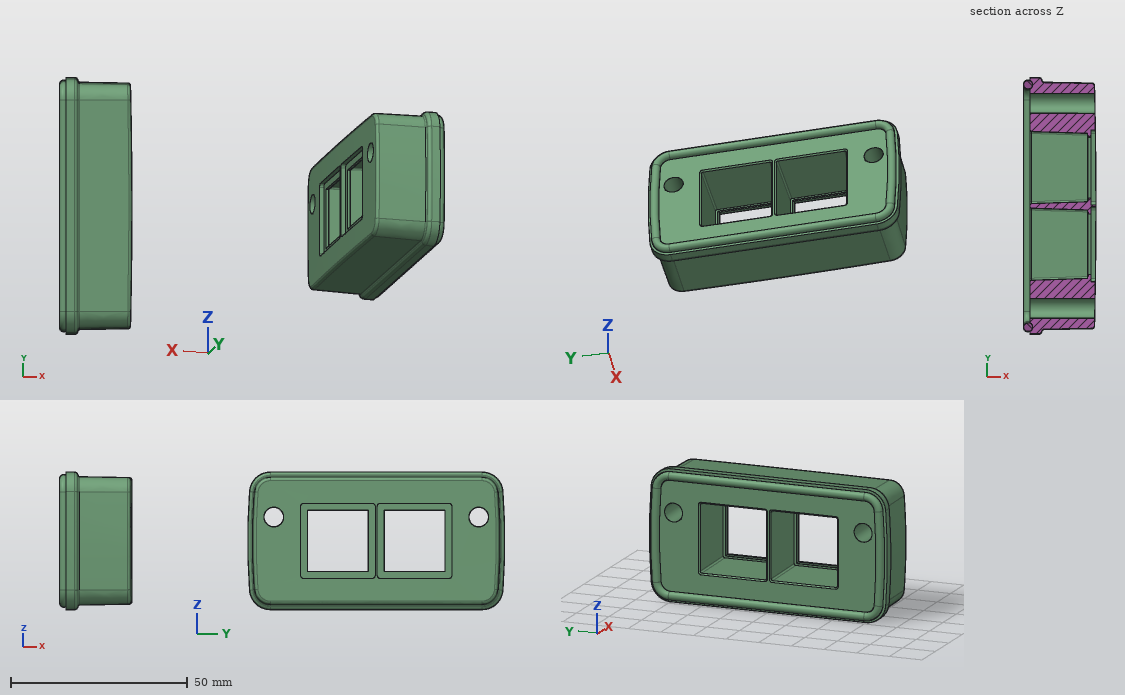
import cadquery as cq
import math


overall_depth = 20.54
length = 72.8
height = 39.0

corner_radius = 6.0
corner_center_y = 29.9
corner_center_z = height / 2 - corner_radius
end_to_corner = length / 2 - corner_center_y
bow_numerator = corner_center_z**2 + end_to_corner**2 - corner_radius**2
bow_radius = bow_numerator / (2 * (end_to_corner - corner_radius))

ring_diameter = 2.5
ring_edge_inset = 0.7
ring_protrusion = 1.79

housing_depth = overall_depth - ring_protrusion
flange_depth = 3.34
shoulder_slope_depth = 0.23
shoulder_inset = 1.3
shoulder_outer_radius = 1.1
shoulder_inner_radius = 0.43
draft_angle = 1.0
rear_crown = 0.45
rear_fillet = 0.9

edge_margin = 0.01

bay_pitch = 21.7
bay_width = 21.15
bay_height = 21.3
bay_lip = 0.42
bay_depth = 16.3
bay_corner_radius = 0.5
bay_floor_size = 19.3
window_width = 17.1
window_height = 17.3
window_rim = 0.45
window_rim_depth = 0.2
window_rim_corner = 0.5
window_wall_end = 17.35

screw_hole_diameter = 5.5
screw_hole_y = 29.0
screw_hole_z = 6.75


def yz_plane(x):
    """Plane across the part at depth x, with local x along Y and the normal along +X."""
    return cq.Workplane("YZ", origin=(x, 0, 0))


def outline(x, inset=0.0):
    """Closed outline of the part at depth x, drawn smaller than the flange by the inset all round."""
    half_length = length / 2 - inset
    half_height = height / 2 - inset
    bow_center_y = length / 2 - bow_radius
    bow_share = (bow_radius - inset) / (bow_radius - corner_radius)
    bow_y = bow_center_y + (corner_center_y - bow_center_y) * bow_share
    bow_z = corner_center_z * bow_share
    return (
        yz_plane(x)
        .moveTo(-corner_center_y, half_height)
        .lineTo(corner_center_y, half_height)
        .tangentArcPoint((bow_y, bow_z), relative=False)
        .threePointArc((half_length, 0), (bow_y, -bow_z))
        .tangentArcPoint((corner_center_y, -half_height), relative=False)
        .lineTo(-corner_center_y, -half_height)
        .tangentArcPoint((-bow_y, -bow_z), relative=False)
        .threePointArc((-half_length, 0), (-bow_y, bow_z))
        .tangentArcPoint((-corner_center_y, half_height), relative=False)
        .close()
    )


def make_ring():
    """Round-section sealing ring that follows the flange outline."""
    center_x = ring_diameter / 2 - ring_protrusion
    path_inset = ring_edge_inset + ring_diameter / 2
    path = outline(center_x, path_inset)
    section_center = (center_x, 0, height / 2 - path_inset)
    section = cq.Workplane("XZ", origin=section_center).circle(ring_diameter / 2)
    return section.sweep(path)


def make_shell():
    """Outside of the housing: flange, rounded shoulder, drafted box and crowned rear face."""
    shoulder_end = flange_depth + shoulder_slope_depth
    shoulder_angle = math.degrees(math.atan2(shoulder_inset, shoulder_slope_depth))
    flange = outline(0).extrude(flange_depth)
    shoulder = outline(flange_depth).extrude(shoulder_slope_depth, taper=shoulder_angle)
    box = outline(shoulder_end, shoulder_inset).extrude(housing_depth - shoulder_end, taper=draft_angle)
    box = box.intersect(make_crown_envelope()).faces(">X").edges().fillet(rear_fillet)
    shell = flange.union(shoulder).union(box)
    shell = shell.edges(edges_at(flange_depth)).fillet(shoulder_outer_radius)
    return shell.edges(edges_at(shoulder_end)).fillet(shoulder_inner_radius)


def edges_at(x):
    """Selector for the edges that lie around depth x."""
    reach = length
    near_corner = (x - edge_margin, -reach, -reach)
    far_corner = (x + edge_margin, reach, reach)
    return cq.selectors.BoxSelector(near_corner, far_corner, boundingbox=True)


def make_crown_envelope():
    """Block whose rear face is a shallow arc along Y, highest in the middle."""
    crown_edge_x = housing_depth - rear_crown
    return (
        cq.Workplane("XY", origin=(0, 0, -height / 2))
        .moveTo(0, -length / 2)
        .lineTo(crown_edge_x, -length / 2)
        .threePointArc((housing_depth, 0), (crown_edge_x, length / 2))
        .lineTo(0, length / 2)
        .close()
        .extrude(height)
    )


def rounded_rect(size_y, size_z, radius):
    """Sketch of a rectangle with round corners."""
    return cq.Sketch().rect(size_y, size_z).vertices().fillet(radius)


def tapered_pocket(x_start, x_end, center_y, start_section, end_section):
    """Solid that blends from one rounded rectangle to another between two depths."""
    return (
        yz_plane(x_start)
        .center(center_y, 0)
        .placeSketch(start_section, end_section.moved(cq.Location(cq.Vector(0, 0, x_end - x_start))))
        .loft(ruled=True)
    )


def straight_pocket(x_start, x_end, center_y, section):
    """Solid of constant section between two depths."""
    return yz_plane(x_start).center(center_y, 0).placeSketch(section).extrude(x_end - x_start)


def make_bay(center_y):
    """Cutter for one module bay: chamfered mouth, drafted pocket, rimmed window and rear recess."""
    mouth_section = rounded_rect(bay_width, bay_height, bay_corner_radius + bay_lip)
    throat_section = rounded_rect(bay_width - 2 * bay_lip, bay_height - 2 * bay_lip, bay_corner_radius)
    floor_section = rounded_rect(bay_floor_size, bay_floor_size, bay_corner_radius)
    rim_width = window_width + 2 * window_rim
    rim_height = window_height + 2 * window_rim
    rim_section = rounded_rect(rim_width, rim_height, window_rim_corner)
    window_section = cq.Sketch().rect(window_width, window_height)

    mouth = tapered_pocket(0, bay_lip, center_y, mouth_section, throat_section)
    pocket = tapered_pocket(bay_lip, bay_depth, center_y, throat_section, floor_section)
    rim = straight_pocket(bay_depth, bay_depth + window_rim_depth, center_y, rim_section)
    window = straight_pocket(bay_depth, window_wall_end, center_y, window_section)
    recess = straight_pocket(window_wall_end, housing_depth, center_y, mouth_section)
    return mouth.union(pocket).union(rim).union(window).union(recess)


def make_screw_holes():
    """Cutter for the two through holes beside the bays."""
    return (
        yz_plane(0)
        .pushPoints([(-screw_hole_y, screw_hole_z), (screw_hole_y, screw_hole_z)])
        .circle(screw_hole_diameter / 2)
        .extrude(housing_depth)
    )


def make_housing(ring):
    housing = make_shell()
    for side in (-1, 1):
        housing = housing.cut(make_bay(side * bay_pitch / 2))
    return housing.cut(make_screw_holes()).cut(ring)


sealing_ring = make_ring()
housing = make_housing(sealing_ring)

result = cq.Compound.makeCompound([housing.val(), sealing_ring.val()])